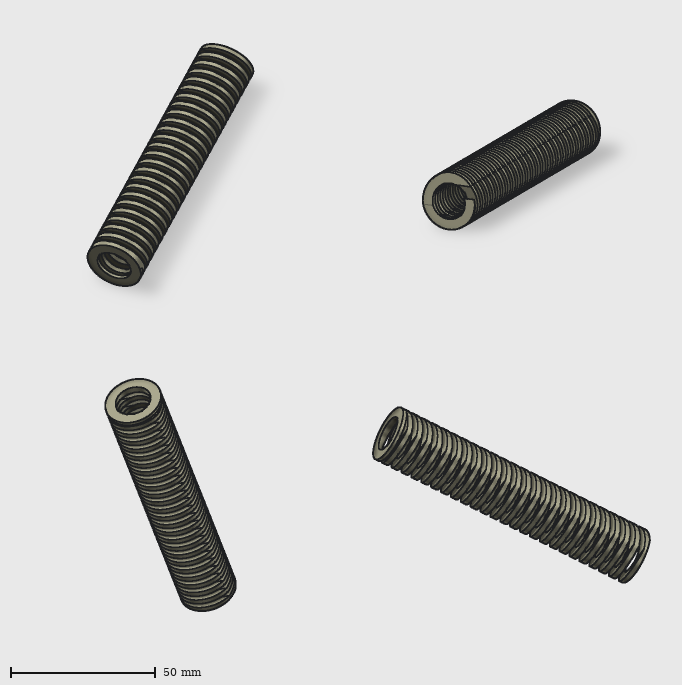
import cadquery as cq

length = 100.0
outer_diameter = 20.0
inner_diameter = 12.5
pitch = 4.0
slot_width = 2.0
end_ring_thickness = 1.4
turn_height = 6.0

front_end = -length / 2
outer_radius = outer_diameter / 2
crossings_per_turn = 2
slot_slope = pitch / (crossings_per_turn * 2 * turn_height)
first_slot_y = front_end + pitch - slot_width / 2
turn_numbers = range(-1, round(length / pitch) + 1)
overrun = 1.0


def tube(tube_length):
    """Tube that starts at the front end and runs towards +Y."""
    return (
        cq.Workplane("XZ", origin=(0, front_end, 0))
        .circle(outer_radius)
        .circle(inner_diameter / 2)
        .extrude(-tube_length)
    )


def slots(side, bend_z):
    """Slots through one half of the tube (side = -1 or +1 in X), bent at height bend_z.

    Going down, each slot leans towards +Y as far as the bend and then back towards -Y.
    """
    top_z = outer_radius + overrun
    bend_shift = slot_slope * (outer_radius - bend_z)
    top_shift = -slot_slope * overrun
    bottom_shift = bend_shift - slot_slope * (bend_z + top_z)
    outlines = cq.Workplane("YZ")
    for number in turn_numbers:
        front = first_slot_y + number * pitch - slot_width / 2
        back = front + slot_width
        outlines = outlines.polyline([
            (front + top_shift, top_z),
            (front + bend_shift, bend_z),
            (front + bottom_shift, -top_z),
            (back + bottom_shift, -top_z),
            (back + bend_shift, bend_z),
            (back + top_shift, top_z),
        ]).close()
    return outlines.extrude(side * top_z)


coil = tube(length)
coil = coil.cut(slots(-1, turn_height))
coil = coil.cut(slots(1, -turn_height))
end_ring = tube(end_ring_thickness)
result = coil.union(end_ring)